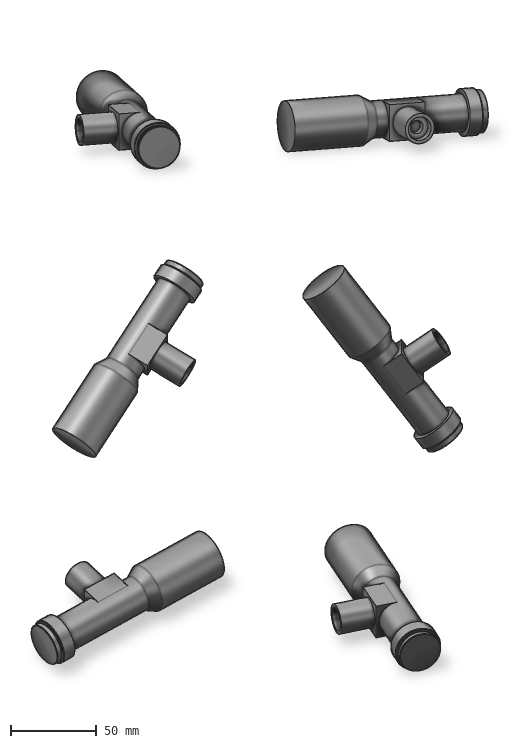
import cadquery as cq

total_length = 121.3
body_diameter = 30.0
body_length = 45.6
cone_length = 7.0
neck_diameter = 22.0
flange_diameter = 28.0
flange_start = 109.4
flange_width = 8.0
rim_diameter = 25.5
rim_width = 3.3
groove_diameter = 24.5
edge_break = 0.4
cone_blend_radius = 1.1

block_center_x = 70.6
block_width = neck_diameter
block_reach = 13.0

port_diameter = 18.1
overall_width = 48.6
port_reach = overall_width - body_diameter / 2
counterbore_diameter = 14.1
counterbore_depth = 5.1
bore_diameter = 8.0
bore_depth = 10.0


def x_cylinder(diameter, start, end):
    return cq.Workplane("YZ").workplane(offset=start).circle(diameter / 2).extrude(end - start)


def port_cylinder(diameter, start, end):
    """Cylinder on the port axis between two distances from the body axis."""
    plane = cq.Workplane("XZ", origin=(block_center_x, 0, 0))
    return plane.workplane(offset=start).circle(diameter / 2).extrude(end - start)


def make_body():
    cone_end = body_length + cone_length
    profile = [
        (0, 0),
        (0, body_diameter / 2),
        (body_length, body_diameter / 2),
        (cone_end, neck_diameter / 2),
        (flange_start, neck_diameter / 2),
        (flange_start, 0),
    ]
    body = cq.Workplane("XY").polyline(profile).close().revolve(360, (0, 0, 0), (1, 0, 0))
    cone_edges = body.faces("%CONE").edges("%CIRCLE")
    return cone_edges.fillet(cone_blend_radius)


def make_end_flange():
    flange_end = flange_start + flange_width
    rim_start = total_length - rim_width
    flange = x_cylinder(flange_diameter, flange_start, flange_end).faces(">X").edges().chamfer(edge_break)
    groove_floor = x_cylinder(groove_diameter, flange_end, rim_start)
    rim = x_cylinder(rim_diameter, rim_start, total_length).faces(">X").edges().chamfer(edge_break)
    return flange.union(groove_floor).union(rim)


def make_block():
    return cq.Workplane("XY").box(block_width, block_reach, block_width).translate(
        (block_center_x, -block_reach / 2, 0)
    )


port = port_cylinder(port_diameter, block_reach, port_reach)
counterbore = port_cylinder(counterbore_diameter, port_reach - counterbore_depth, port_reach)
bore = port_cylinder(bore_diameter, port_reach - bore_depth, port_reach)

result = make_body().union(make_end_flange()).union(make_block()).union(port)
result = result.cut(counterbore).cut(bore)